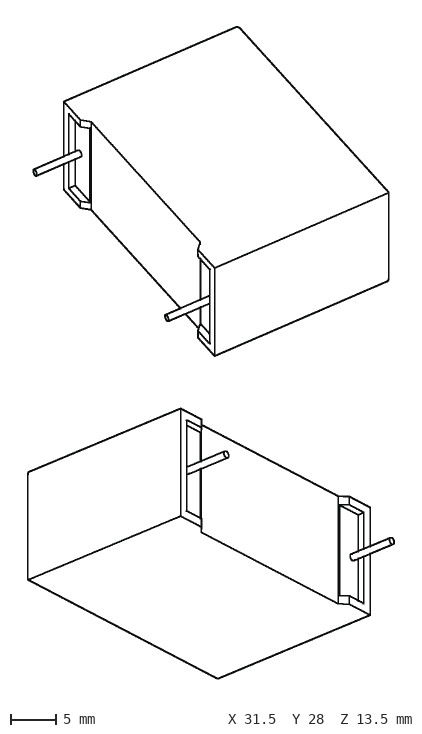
import cadquery as cq


case_width = 31.5
case_depth = 23.0
case_height = 13.5
back_fillet = 0.5

foot_width = 3.5
channel_depth = 0.85
channel_slope_width = channel_depth

pocket_wall = 1.05
pocket_width = 3.2
pocket_depth = channel_depth

lead_diameter = 0.8
lead_spacing = 27.5
lead_length = 5.0

half_width = case_width / 2
mid_height = case_height / 2
sides = (-1, 1)


def make_block():
    """Plain case block with its four back edges rounded."""
    block = cq.Workplane("XY").box(case_width, case_depth, case_height, centered=(True, False, False))
    return block.faces(">Y").edges().fillet(back_fillet)


def make_channel():
    """Cutter for the channel between the feet, with sloped ends and full case height."""
    half_mouth = half_width - foot_width
    half_floor = half_mouth - channel_slope_width
    outline = [
        (-half_mouth, 0),
        (half_mouth, 0),
        (half_floor, channel_depth),
        (-half_floor, channel_depth),
    ]
    return cq.Workplane("XY").polyline(outline).close().extrude(case_height)


def make_pocket(side):
    """Cutter for the rectangular pocket in one foot."""
    pocket_height = case_height - 2 * pocket_wall
    center_x = side * (half_width - pocket_wall - pocket_width / 2)
    pocket = cq.Workplane("XY").box(pocket_width, pocket_depth, pocket_height, centered=(True, False, True))
    return pocket.translate((center_x, 0, mid_height))


def make_case():
    case = make_block().cut(make_channel())
    for side in sides:
        case = case.cut(make_pocket(side))
    return case


def make_lead(side):
    """Round lead standing on the pocket floor and running toward -Y."""
    floor_plane = cq.Plane(
        origin=(side * lead_spacing / 2, pocket_depth, mid_height),
        xDir=(1, 0, 0),
        normal=(0, -1, 0),
    )
    return cq.Workplane(floor_plane).circle(lead_diameter / 2).extrude(pocket_depth + lead_length)


case = make_case()
leads = [make_lead(side) for side in sides]

result = cq.Compound.makeCompound([case.val(), *[lead.val() for lead in leads]])